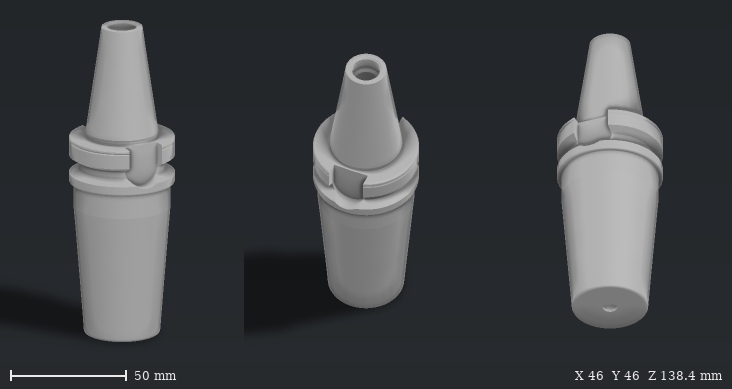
import cadquery as cq
import math

length = 138.4

nose_radius = 16.5
nose_round = 1.1
body_radius = 21.0
body_taper_top = 57.5

flange_radius = 23.0
flange_bottom = 68.1
flange_top = 89.0
flange_bottom_round = 1.0
flange_top_round = 1.0
flange_root_round = 0.5

groove_radius = 19.1
groove_bottom = 72.4
groove_top = 80.4
groove_flank_angle = math.radians(30)
groove_flank_height = (flange_radius - groove_radius) * math.tan(groove_flank_angle)
groove_root_round = 0.5

ring_groove_bottom = 86.5
ring_groove_top = 87.5
ring_groove_depth = 0.3

slot_width = 16.0
slot_floor = 16.3
slot_bottom = 70.9

taper_ratio = 7 / 24
gauge_radius = 15.9
gauge_height = 90.0
taper_foot = 91.0
taper_tip_chamfer = 0.3
relief_radius = 15.5
relief_top = 90.4
dish_inner_radius = 16.0
dish_outer_radius = 16.9
dish_rim_height = 0.21
relief_round = dish_inner_radius - relief_radius

through_radius = 3.0
thread_radius = 5.3
thread_depth = 27.7
bore_radius = 6.1
bore_depth = 4.5
undercut_radius = 6.4
undercut_flare_depth = 6.1
undercut_depth = 6.9
undercut_cone_height = undercut_radius - thread_radius
bore_mouth_chamfer = 0.8


def taper_radius(height):
    """Radius of the shank taper at a given height."""
    return gauge_radius - (height - gauge_height) * taper_ratio / 2


def body_cone_radius(height):
    """Radius of the body cone at a given height."""
    return nose_radius + (body_radius - nose_radius) * height / body_taper_top


def make_turned_body():
    """Solid of revolution, without the bore: profile as (radius, height)."""
    ring_groove_middle = (ring_groove_bottom + ring_groove_top) / 2
    tip_radius = taper_radius(length)
    arc_inset = 1 - math.sqrt(0.5)
    bottom_inset = flange_bottom_round * arc_inset
    top_inset = flange_top_round * arc_inset
    root_inset = flange_root_round * arc_inset
    nose_inset = nose_round * arc_inset
    relief_inset = relief_round * arc_inset
    dish_floor = flange_top - dish_rim_height

    profile = (
        cq.Workplane("XZ")
        .moveTo(0, 0)
        .lineTo(nose_radius - nose_round, 0)
        .threePointArc(
            (nose_radius - nose_inset, nose_inset),
            (body_cone_radius(nose_round), nose_round),
        )
        .lineTo(body_radius, body_taper_top)
        .lineTo(body_radius, flange_bottom - flange_root_round)
        .threePointArc(
            (body_radius + root_inset, flange_bottom - root_inset),
            (body_radius + flange_root_round, flange_bottom),
        )
        .lineTo(flange_radius - flange_bottom_round, flange_bottom)
        .threePointArc(
            (flange_radius - bottom_inset, flange_bottom + bottom_inset),
            (flange_radius, flange_bottom + flange_bottom_round),
        )
        .lineTo(flange_radius, groove_bottom)
        .lineTo(groove_radius, groove_bottom + groove_flank_height)
        .lineTo(groove_radius, groove_top - groove_flank_height)
        .lineTo(flange_radius, groove_top)
        .lineTo(flange_radius, ring_groove_bottom)
        .lineTo(flange_radius - ring_groove_depth, ring_groove_middle)
        .lineTo(flange_radius, ring_groove_top)
        .lineTo(flange_radius, flange_top - flange_top_round)
        .threePointArc(
            (flange_radius - top_inset, flange_top - top_inset),
            (flange_radius - flange_top_round, flange_top),
        )
        .lineTo(dish_outer_radius, flange_top)
        .lineTo(dish_inner_radius, dish_floor)
        .threePointArc(
            (relief_radius + relief_inset, dish_floor + relief_inset),
            (relief_radius, dish_floor + relief_round),
        )
        .lineTo(relief_radius, relief_top)
        .lineTo(taper_radius(taper_foot), taper_foot)
        .lineTo(taper_radius(length - taper_tip_chamfer), length - taper_tip_chamfer)
        .lineTo(tip_radius - taper_tip_chamfer, length)
        .lineTo(0, length)
        .close()
    )
    body = profile.revolve(360, (0, 0, 0), (0, 1, 0))
    groove_roots = cq.selectors.BoxSelector(
        (-flange_radius, -flange_radius, groove_bottom + groove_flank_height / 2),
        (flange_radius, flange_radius, groove_top - groove_flank_height / 2),
    )
    return body.edges(groove_roots).edges("%CIRCLE").fillet(groove_root_round)


def make_bore():
    """Stepped axial bore: chamfered mouth, bore, undercut, thread hole, through hole."""
    undercut_bottom = length - undercut_depth
    profile = (
        cq.Workplane("XZ")
        .moveTo(0, 0)
        .lineTo(through_radius, 0)
        .lineTo(through_radius, length - thread_depth)
        .lineTo(thread_radius, length - thread_depth)
        .lineTo(thread_radius, undercut_bottom - undercut_cone_height)
        .lineTo(undercut_radius, undercut_bottom)
        .lineTo(undercut_radius, length - undercut_flare_depth)
        .lineTo(bore_radius, length - bore_depth)
        .lineTo(bore_radius, length - bore_mouth_chamfer)
        .lineTo(bore_radius + bore_mouth_chamfer, length)
        .lineTo(0, length)
        .close()
    )
    return profile.revolve(360, (0, 0, 0), (0, 1, 0))


def make_drive_slot(side):
    """Round-bottomed slot cutter on the +X (side = 1) or -X (side = -1) side."""
    slot_radius = slot_width / 2
    arc_height = slot_bottom + slot_radius
    slot_reach = flange_radius - slot_floor
    return (
        cq.Workplane("YZ", origin=(side * slot_floor, 0, 0))
        .moveTo(-slot_radius, flange_top)
        .lineTo(-slot_radius, arc_height)
        .threePointArc((0, slot_bottom), (slot_radius, arc_height))
        .lineTo(slot_radius, flange_top)
        .close()
        .extrude(side * slot_reach)
    )


result = make_turned_body().cut(make_bore())
for side in (-1, 1):
    result = result.cut(make_drive_slot(side))